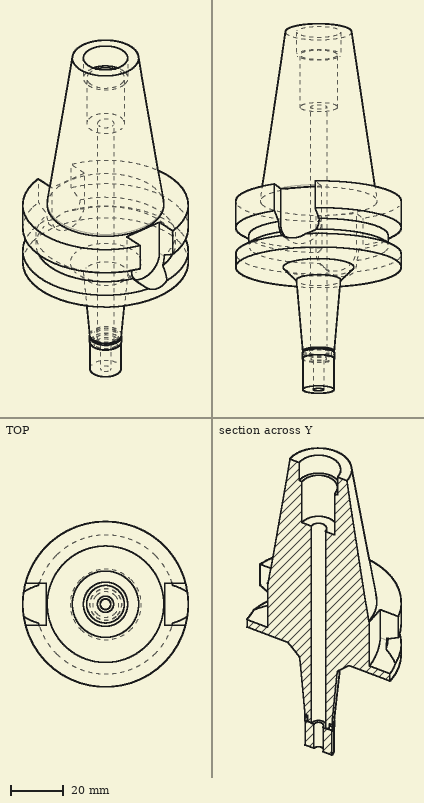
import cadquery as cq

total_height = 140.4

taper_length = 65.4
taper_small_radius = 12.6
taper_large_radius = 22.2
collar_height = 1.0

flange_diameter = 63.0
flange_height = 26.0
upper_rim_height = 10.5
groove_radius = 26.5
groove_slope_height = 3.0
groove_floor_height = 4.2

slot_width = 16.1
slot_floor_offset = 22.5
slot_depth = 22.0

shoulder_height = 5.0
nose_top_radius = 8.4
nose_bottom_radius = 6.0
spigot_radius = 4.9

ring_diameter = 12.2
sleeve_diameter = 12.0
sleeve_height = 12.2
ring_height = 2.2
ring_gap = 0.7

counterbore_radius = 8.4
counterbore_depth = 9.0
socket_radius = 7.2
socket_depth = 29.5
channel_radius = 3.1
tip_bore_radius = 2.0

flange_radius = flange_diameter / 2
ring_radius = ring_diameter / 2
sleeve_radius = sleeve_diameter / 2
ring_top_z = sleeve_height + ring_height
nose_bottom_z = ring_top_z + ring_gap
flange_top_z = total_height - taper_length - collar_height
flange_bottom_z = flange_top_z - flange_height
shoulder_bottom_z = flange_bottom_z - shoulder_height
shoulder_radius = nose_top_radius + shoulder_height
rim_bottom_z = flange_top_z - upper_rim_height
groove_top_z = rim_bottom_z - groove_slope_height
groove_bottom_z = groove_top_z - groove_floor_height
lower_rim_top_z = groove_bottom_z - groove_slope_height


def cylinder(radius, bottom_z, top_z):
    """Solid cylinder on the Z axis between two levels."""
    return cq.Workplane("XY").workplane(offset=bottom_z).circle(radius).extrude(top_z - bottom_z)


def tube(outer_radius, inner_radius, bottom_z, top_z):
    """Plain hollow cylinder on the Z axis between two levels."""
    return cylinder(outer_radius, bottom_z, top_z).cut(cylinder(inner_radius, bottom_z, top_z))


def holder_blank():
    """Turned outside shape of the holder: spigot, nose, flange and taper."""
    half_profile = [
        (0, sleeve_height),
        (spigot_radius, sleeve_height),
        (spigot_radius, nose_bottom_z),
        (nose_bottom_radius, nose_bottom_z),
        (nose_top_radius, shoulder_bottom_z),
        (shoulder_radius, flange_bottom_z),
        (flange_radius, flange_bottom_z),
        (flange_radius, lower_rim_top_z),
        (groove_radius, groove_bottom_z),
        (groove_radius, groove_top_z),
        (flange_radius, rim_bottom_z),
        (flange_radius, flange_top_z),
        (taper_large_radius, flange_top_z),
        (taper_large_radius, flange_top_z + collar_height),
        (taper_small_radius, total_height),
        (0, total_height),
    ]
    return cq.Workplane("YZ").polyline(half_profile).close().revolve(360, (0, 0), (0, 1))


def drive_slot(side):
    """Round-ended slot cutter, open at the flange top; side is -1 or +1 along X."""
    end_radius = slot_width / 2
    end_center_z = flange_top_z - slot_depth + end_radius
    return (
        cq.Workplane("YZ")
        .workplane(offset=side * slot_floor_offset)
        .moveTo(-end_radius, flange_top_z)
        .lineTo(-end_radius, end_center_z)
        .threePointArc((0, flange_top_z - slot_depth), (end_radius, end_center_z))
        .lineTo(end_radius, flange_top_z)
        .close()
        .extrude(side * flange_radius)
    )


def make_holder():
    """Tool holder with two drive slots and a stepped through bore."""
    holder = holder_blank()
    for side in (-1, 1):
        holder = holder.cut(drive_slot(side))
    holder = holder.cut(cylinder(counterbore_radius, total_height - counterbore_depth, total_height))
    holder = holder.cut(cylinder(socket_radius, total_height - socket_depth, total_height))
    return holder.cut(cylinder(channel_radius, sleeve_height, total_height))


def make_ring():
    """Ring on the spigot, between the nose and the sleeve."""
    return tube(ring_radius, spigot_radius, sleeve_height, ring_top_z)


def make_sleeve():
    """Sleeve at the free end, butted against the ring."""
    return tube(sleeve_radius, tip_bore_radius, 0, sleeve_height)


holder = make_holder()
ring = make_ring()
sleeve = make_sleeve()

result = cq.Compound.makeCompound([holder.val(), ring.val(), sleeve.val()])